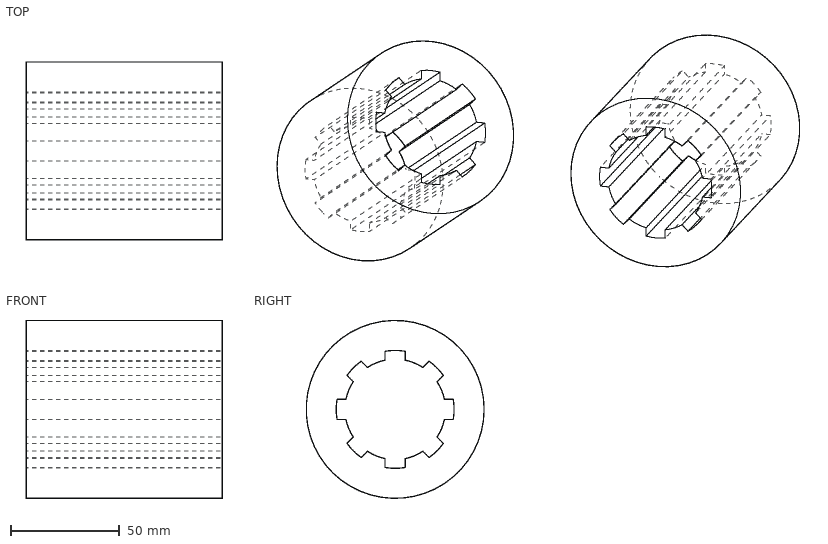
import cadquery as cq

length = 90.0
outer_diameter = 81.7
bore_diameter = 46.0
groove_diameter = 54.0
groove_width = 9.2
groove_pairs = 4


def cylinder(diameter):
    """Full-length cylinder centred on the origin, along X."""
    face = cq.Workplane("YZ", origin=(-length / 2, 0, 0))
    return face.circle(diameter / 2).extrude(length)


def groove_pair(angle):
    """Parallel-sided bar across the axis that forms two opposite grooves."""
    bar = cq.Workplane("XY").box(length, groove_diameter, groove_width)
    return bar.rotate((0, 0, 0), (1, 0, 0), angle)


groove_bars = groove_pair(0)
for index in range(1, groove_pairs):
    groove_bars = groove_bars.union(groove_pair(index * 180 / groove_pairs))
spline_bore = groove_bars.intersect(cylinder(groove_diameter)).union(cylinder(bore_diameter))

result = cylinder(outer_diameter).cut(spline_bore)